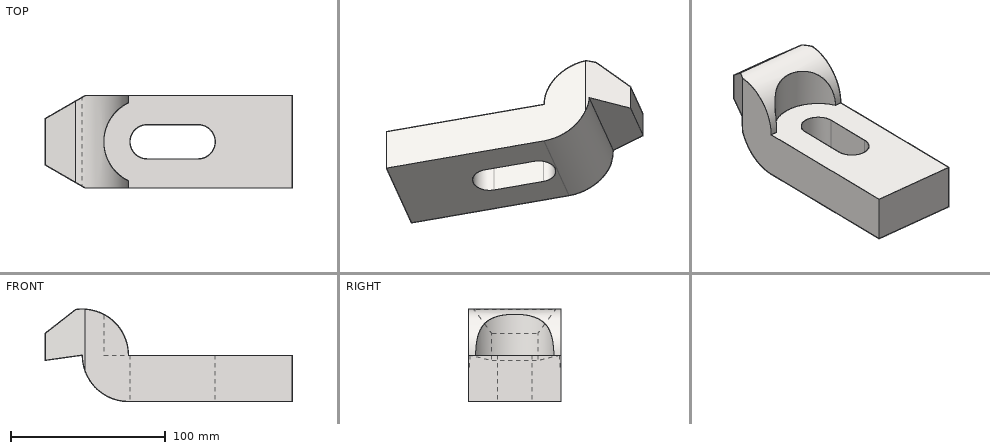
import cadquery as cq
import math

length = 160.0
width = 60.0
bar_height = 30.0
bend_radius = bar_height
heel_x = 24.0

nose_tip_width = 30.0
nose_side_angle = 30.0
nose_underside_angle = 8.0
nose_tip_top = 44.2
nose_crest_x = 19.8

slot_width = 22.0
slot_start_x = 55.0
slot_end_x = 110.0
clearance_radius = 28.0

total_height = bar_height + bend_radius
step_x = heel_x + bend_radius
nose_tip_bottom = bar_height - heel_x * math.tan(math.radians(nose_underside_angle))
nose_crest_z = bar_height + math.sqrt(bend_radius**2 - (heel_x - nose_crest_x) ** 2)
nose_taper_depth = (width - nose_tip_width) / 2
nose_taper_length = nose_taper_depth / math.tan(math.radians(nose_side_angle))
slot_first_center_x = slot_start_x + slot_width / 2


def gooseneck_body():
    """Side outline of the clamp, extruded across its full width about Y = 0."""
    diagonal = bend_radius * math.sqrt(0.5)
    upper_arc_middle = (heel_x + diagonal, bar_height + diagonal)
    lower_arc_middle = (step_x - diagonal, bar_height - diagonal)
    return (
        cq.Workplane("XZ")
        .moveTo(0, nose_tip_bottom)
        .lineTo(0, nose_tip_top)
        .lineTo(nose_crest_x, nose_crest_z)
        .threePointArc(upper_arc_middle, (step_x, bar_height))
        .lineTo(length, bar_height)
        .lineTo(length, 0)
        .lineTo(step_x, 0)
        .threePointArc(lower_arc_middle, (heel_x, bar_height))
        .close()
        .extrude(width / 2, both=True)
    )


def nose_side_cut(side):
    """Wedge that tapers the nose on the +Y (side = 1) or -Y (side = -1) face."""
    return (
        cq.Workplane("XY")
        .moveTo(0, side * nose_tip_width / 2)
        .lineTo(nose_taper_length, side * width / 2)
        .lineTo(0, side * width / 2)
        .close()
        .extrude(total_height)
    )


def bolt_slot():
    """Round-ended slot through the bar."""
    slot_length = slot_end_x - slot_start_x
    return (
        cq.Workplane("XY")
        .center((slot_start_x + slot_end_x) / 2, 0)
        .slot2D(slot_length, slot_width)
        .extrude(bar_height)
    )


def washer_clearance():
    """Round relief in the back of the gooseneck, down to the top of the bar."""
    return (
        cq.Workplane("XY", origin=(slot_first_center_x, 0, bar_height))
        .circle(clearance_radius)
        .extrude(bend_radius)
    )


result = gooseneck_body()
for side in (1, -1):
    result = result.cut(nose_side_cut(side))
result = result.cut(bolt_slot()).cut(washer_clearance())